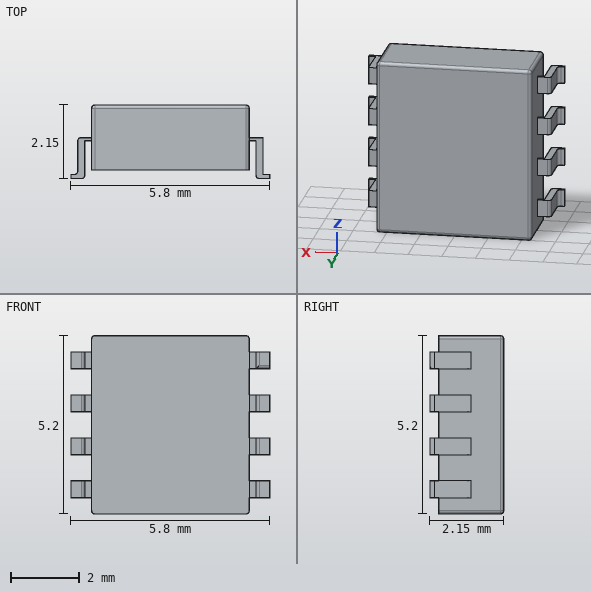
import cadquery as cq


overall_width = 5.8
body_width = 4.6
body_depth = 1.9
body_height = 5.2

lead_count = 4
lead_pitch = 1.25
lead_height = 0.5
arm_thickness = 0.1
leg_thickness = 0.21
foot_thickness = 0.13
foot_reach = 0.2
foot_drop = 0.25
arm_back_y = body_depth / 2

edge_radius = 0.1

body_side_x = body_width / 2
toe_x = overall_width / 2
leg_outer_x = toe_x - foot_reach
leg_inner_x = leg_outer_x - leg_thickness
foot_front_y = -foot_drop
foot_back_y = foot_front_y + foot_thickness
arm_front_y = arm_back_y - arm_thickness
root_x = body_side_x - edge_radius


def make_body():
    """Block with rounded corners and back rim; its front rim stays sharp."""
    block = cq.Workplane("XY").box(body_width, body_depth, body_height, centered=(True, False, True))
    return block.edges("|Y").fillet(edge_radius).faces(">Y").edges().fillet(edge_radius)


def make_sharp_lead(side, center_z):
    """Unrounded stepped lead; side is +1 for the +X row and -1 for the -X row."""
    profile = [
        (root_x, arm_back_y),
        (leg_outer_x, arm_back_y),
        (leg_outer_x, foot_back_y),
        (toe_x, foot_back_y),
        (toe_x, foot_front_y),
        (leg_inner_x, foot_front_y),
        (leg_inner_x, arm_front_y),
        (root_x, arm_front_y),
    ]
    points = [(side * x, y) for x, y in profile]
    return (
        cq.Workplane("XY", origin=(0, 0, center_z - lead_height / 2))
        .polyline(points)
        .close()
        .extrude(lead_height)
    )


def bend_edges(lead, side, corners):
    """Edges along Z that pass through the given (x, y) profile corners."""
    edges = []
    for x, y in corners:
        near_corner = cq.selectors.NearestToPointSelector((side * x, y, lead.val().Center().z))
        edges += lead.edges("|Z").edges(near_corner).vals()
    return edges


def make_left_lead(center_z):
    """Lead of the -X row, rounded at the shoulder, the heel and the instep."""
    lead = make_sharp_lead(-1, center_z)
    shoulder = (leg_outer_x, arm_back_y)
    heel = (leg_inner_x, foot_front_y)
    instep = (leg_outer_x, foot_back_y)
    return lead.newObject(bend_edges(lead, -1, [shoulder, heel, instep])).fillet(edge_radius)


def make_right_lead(center_z, rounded_sole):
    """Lead of the +X row, rounded at the heel and, if asked, along the sole's lower edge."""
    lead = make_sharp_lead(1, center_z)
    edges = bend_edges(lead, 1, [(leg_inner_x, foot_front_y)])
    if rounded_sole:
        edges += lead.faces("<Y").edges("<Z").vals()
    return lead.newObject(edges).fillet(edge_radius)


result = make_body()
for index in range(lead_count):
    lead_z = (index - (lead_count - 1) / 2) * lead_pitch
    is_top_lead = index == lead_count - 1
    result = result.union(make_left_lead(lead_z))
    result = result.union(make_right_lead(lead_z, rounded_sole=is_top_lead))